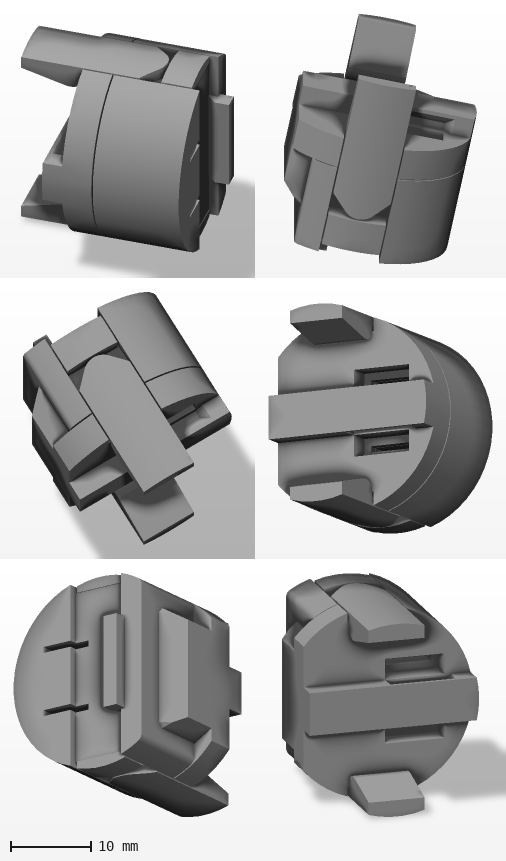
import cadquery as cq
import math


body_radius = 12.55
total_length = 25.2
clearance = 0.2

clip_half_width = 3.65
clip_tip_z = 10.4
clip_hump_z = 8.9
slope_end_x = 6.02
hump_radius = 1.55
shank_z = 10.84
nose_tip_x = 18.02
nose_radius = 2.5
channel_half_width = clip_half_width + clearance

plate_front_x = 8.1
plate_back_x = 11.97
plate_flat_y = 9.58
notch_floor_z = 10.18
grip_front_x = 5.55
grip_half_height = 2.77
inner_step_x = 10.89

slot_y = (-7.95, -2.0)
slot_z = (3.78, 4.55)
entry_y = (-8.82, -1.08)
entry_top_z = 5.52
funnel_depth = 1.03
funnel_front_x = 6.05

housing_front_x = plate_back_x + clearance
housing_back_x = 23.39
housing_flat_y = 6.98
housing_corner_radius = 1.0
channel_front_z = 10.55
ramp_start_x = 13.15
ramp_end_x = 18.1
channel_deep_z = 9.58
channel_step_x = 19.28
channel_rear_z = 11.15
rear_slot_x = 22.18
stop_front_x = ramp_end_x + clearance
stop_back_x = 22.3

arm_inner_y = 5.9
arm_half_width = 8.11
arm_bend_x = 17.04
arm_bevel_start_y = 6.68
arm_bevel_angle = 30.0
slope_bevel_z = 7.25
slope_bevel_angle = 56.0
hook_bar_y = (2.47, 4.45)
hook_bar_half_width = 6.0
hook_inner_corner_x = 23.35

SIDES = (1, -1)


def block(x_range, y_range, z_range):
    """Box spanning the given ranges."""
    sizes = [high - low for low, high in (x_range, y_range, z_range)]
    corner = (x_range[0], y_range[0], z_range[0])
    return cq.Workplane("XY").box(*sizes, centered=False).translate(corner)


def mirrored_to(side, shape):
    """The shape itself for the +Z side, its mirror image for the -Z side."""
    return shape if side > 0 else shape.mirror("XY")


def cylinder(x_start, x_end):
    """Round bar on the X axis."""
    return cq.Workplane("YZ").workplane(offset=x_start).circle(body_radius).extrude(x_end - x_start)


def below_flat(x_start, x_end, flat_y):
    """Round bar with a flat on its +Y side."""
    keep = block((x_start, x_end), (-body_radius, flat_y), (-body_radius, body_radius))
    return cylinder(x_start, x_end).intersect(keep)


def side_profile(half_width, points):
    """Prism with an XZ outline, centred on Y = 0."""
    return cq.Workplane("XZ").polyline(points).close().extrude(half_width, both=True)


def flat_profile(half_height, points):
    """Prism with an XY outline, centred on Z = 0."""
    return cq.Workplane("XY").polyline(points).close().extrude(half_height, both=True)


def contact_slot(x_start, x_end):
    """Narrow slot above the centre plane, along X."""
    return block((x_start, x_end), slot_y, slot_z)


def grip_funnel():
    """Recess in the top of the grip, sloped at its front and at its -Y end."""
    floor_z = grip_half_height - funnel_depth
    front_slope = side_profile(body_radius, [
        (funnel_front_x, grip_half_height),
        (funnel_front_x + funnel_depth, floor_z),
        (plate_front_x, floor_z),
        (plate_front_x, grip_half_height),
    ])
    end_slope = (
        cq.Workplane("YZ").workplane(offset=grip_front_x)
        .polyline([
            (entry_y[0] - funnel_depth, grip_half_height),
            (entry_y[0], floor_z),
            (entry_y[1], floor_z),
            (entry_y[1], grip_half_height),
        ])
        .close().extrude(plate_back_x - grip_front_x)
    )
    return front_slope.intersect(end_slope)


def make_plate():
    """Front plate with its grip bar, clip notches and contact entries."""
    plate = below_flat(plate_front_x, plate_back_x, plate_flat_y)
    grip_zone = block(
        (grip_front_x, plate_front_x),
        (-body_radius, body_radius),
        (-grip_half_height, grip_half_height),
    )
    plate = plate.union(below_flat(grip_front_x, plate_front_x, plate_flat_y).intersect(grip_zone))

    notch = block(
        (plate_front_x, plate_back_x),
        (-channel_half_width, channel_half_width),
        (notch_floor_z, body_radius),
    )
    entry = block((plate_front_x, inner_step_x), entry_y, (grip_half_height, entry_top_z))
    slot = contact_slot(plate_front_x, plate_back_x)
    for side in SIDES:
        for cutter in (notch, entry, slot, grip_funnel()):
            plate = plate.cut(mirrored_to(side, cutter))

    back_groove = block(
        (inner_step_x, plate_back_x),
        (hook_bar_y[0], channel_half_width),
        (-body_radius, body_radius),
    )
    return plate.cut(back_groove)


def make_hook():
    """Arm behind the plate that bends 45 degrees inward and ends in a cross bar."""
    bar_low, bar_high = hook_bar_y
    outer_line = arm_bend_x + plate_flat_y
    inner_line = hook_inner_corner_x + bar_low
    arm = flat_profile(arm_half_width, [
        (plate_back_x, plate_flat_y),
        (arm_bend_x, plate_flat_y),
        (outer_line - bar_high, bar_high),
        (inner_line - bar_high, bar_high),
        (inner_line - arm_inner_y, arm_inner_y),
        (plate_back_x, arm_inner_y),
    ])
    bevel_drop = (plate_flat_y - arm_bevel_start_y) * math.tan(math.radians(arm_bevel_angle))
    bevel = (
        cq.Workplane("YZ").workplane(offset=plate_back_x)
        .polyline([
            (arm_bevel_start_y, arm_half_width),
            (plate_flat_y, arm_half_width),
            (plate_flat_y, arm_half_width - bevel_drop),
        ])
        .close().extrude(total_length - plate_back_x)
    )
    slope_bevel_height = arm_half_width - slope_bevel_z
    slope_bevel_depth = slope_bevel_height / math.tan(math.radians(slope_bevel_angle))
    across_slope = cq.Plane(
        origin=(arm_bend_x, plate_flat_y, slope_bevel_z),
        xDir=(-1, -1, 0),
        normal=(-1, 1, 0),
    )
    slope_bevel = (
        cq.Workplane(across_slope)
        .polyline([(0, 0), (0, slope_bevel_height), (slope_bevel_depth, slope_bevel_height)])
        .close().extrude(total_length, both=True)
    )
    for side in SIDES:
        arm = arm.cut(mirrored_to(side, bevel))
        arm = arm.cut(mirrored_to(side, slope_bevel))
    bar = flat_profile(hook_bar_half_width, [
        (inner_line - bar_high, bar_high),
        (total_length, bar_high),
        (total_length, bar_low),
        (hook_inner_corner_x, bar_low),
    ])
    return arm.union(bar)


def clip_channel():
    """Stepped and ramped channel for the +Z clip, up to the rear slot."""
    top = body_radius + clearance
    return side_profile(channel_half_width, [
        (housing_front_x, top),
        (housing_front_x, channel_front_z),
        (ramp_start_x, channel_front_z),
        (ramp_end_x, channel_deep_z),
        (channel_step_x, channel_deep_z),
        (channel_step_x, channel_rear_z),
        (rear_slot_x, channel_rear_z),
        (rear_slot_x, top),
    ])


def stop_pad():
    """Pad standing in the +Z channel behind the nose of the clip."""
    pad = side_profile(clip_half_width, [
        (stop_front_x, body_radius),
        (stop_front_x, channel_deep_z),
        (channel_step_x, channel_deep_z),
        (channel_step_x, channel_rear_z),
        (stop_back_x, channel_rear_z),
        (stop_back_x, body_radius),
    ])
    return pad.intersect(cylinder(stop_front_x, stop_back_x))


def make_housing(hook):
    """Round housing with clip channels, stop pads, rear slot, contact slots and hook recess."""
    housing = below_flat(housing_front_x, housing_back_x, housing_flat_y)
    housing = housing.faces(">Y").edges("|X").fillet(housing_corner_radius)
    rear_slot = block(
        (rear_slot_x, housing_back_x),
        (-channel_half_width, channel_half_width),
        (-body_radius, body_radius),
    )
    housing = housing.cut(rear_slot)
    slot = contact_slot(housing_front_x, housing_back_x)
    for side in SIDES:
        housing = housing.cut(mirrored_to(side, clip_channel()))
        housing = housing.union(mirrored_to(side, stop_pad()))
        housing = housing.cut(mirrored_to(side, slot))
    return housing.cut(hook)


def make_clip(side):
    """Sliding clip with a rounded finger hump near its free end and a pointed, rounded nose."""
    hump_x = plate_front_x - hump_radius
    hump_z = clip_hump_z + hump_radius
    arc_offset = hump_radius * math.sin(math.radians(45))
    arc_middle = (hump_x + arc_offset, hump_z - arc_offset)
    body = (
        cq.Workplane("XZ")
        .moveTo(0, body_radius)
        .lineTo(0, clip_tip_z)
        .lineTo(slope_end_x, clip_hump_z)
        .lineTo(hump_x, clip_hump_z)
        .threePointArc(arc_middle, (plate_front_x, hump_z))
        .lineTo(plate_front_x, shank_z)
        .lineTo(nose_tip_x, shank_z)
        .lineTo(nose_tip_x, body_radius)
        .close()
        .extrude(clip_half_width, both=True)
    )
    round_x = nose_tip_x - nose_radius
    round_offset = nose_radius * math.sin(math.radians(45))
    shoulder_x = round_x + 2 * round_offset - clip_half_width
    outline = (
        cq.Workplane("XY")
        .moveTo(0, -clip_half_width)
        .lineTo(shoulder_x, -clip_half_width)
        .lineTo(round_x + round_offset, -round_offset)
        .threePointArc((nose_tip_x, 0), (round_x + round_offset, round_offset))
        .lineTo(shoulder_x, clip_half_width)
        .lineTo(0, clip_half_width)
        .close()
        .extrude(body_radius)
    )
    return mirrored_to(side, body.intersect(outline).intersect(cylinder(0, nose_tip_x)))


plate = make_plate()
hook = make_hook()
housing = make_housing(hook)
clips = [make_clip(side) for side in SIDES]

result = cq.Compound.makeCompound([
    plate.solids().val(),
    hook.solids().val(),
    housing.solids().val(),
    *[clip.solids().val() for clip in clips],
])